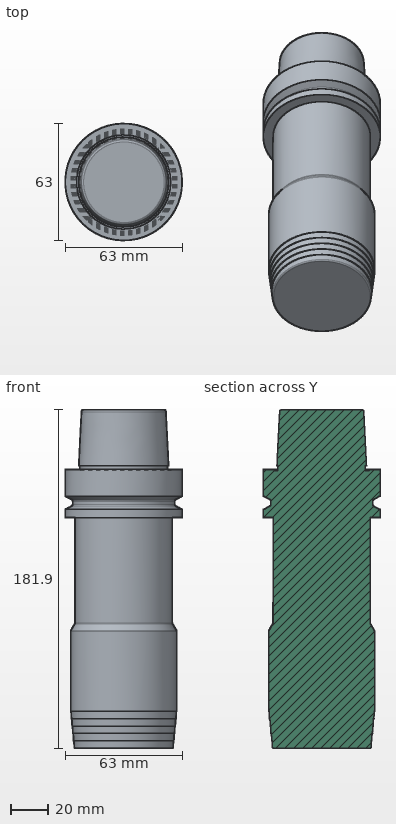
import cadquery as cq
import math

total_height = 181.9

flange_radius = 31.5
flange_top = 149.9
flange_height = 26.0
groove_radius = 27.5
groove_center = flange_top - 18.0
groove_mouth = 7.1
groove_floor = 3.0
groove_fillet = 1.0

taper_base_radius = 24.2
taper_slope = 1 / 20
taper_top_fillet = 1.1
relief_height = 1.8
relief_depth = 0.5
undercut_radius = 25.3
undercut_depth = 0.5

shank_radius = 26.2
body_radius = 28.5
body_top = 63.1
shoulder_height = 4.0
shoulder_fillet = 1.1
nose_height = 20.0
nose_band_count = 5
nose_step = 0.2
nose_band_angle = 3.0
nose_end_fillet = 0.7


def frustum(bottom, top, bottom_radius, top_radius):
    """Solid of revolution with a straight side between two heights."""
    return (
        cq.Workplane("XZ")
        .moveTo(0, bottom)
        .lineTo(bottom_radius, bottom)
        .lineTo(top_radius, top)
        .lineTo(0, top)
        .close()
        .revolve(360, (0, 0, 0), (0, 1, 0))
    )


def nose_outline():
    """Points down the nose: each tapered band starts with a small step inward."""
    band_height = nose_height / nose_band_count
    band_drop = band_height * math.tan(math.radians(nose_band_angle))
    radius = body_radius
    points = [(radius, nose_height)]
    for band in range(nose_band_count):
        band_top = nose_height - band * band_height
        radius -= nose_step
        points.append((radius, band_top))
        radius -= band_drop
        points.append((radius, band_top - band_height))
    return points


def make_lower_body():
    """Shank, sloped shoulder, cylindrical body and stepped nose."""
    shank_top = flange_top - flange_height
    shoulder_top = body_top + shoulder_height
    outline = [
        (0, shank_top),
        (shank_radius, shank_top),
        (shank_radius, shoulder_top),
        (body_radius, body_top),
        *nose_outline(),
        (0, 0),
    ]
    body = cq.Workplane("XZ").polyline(outline).close().revolve(360, (0, 0, 0), (0, 1, 0))
    shoulder_zone = cq.selectors.BoxSelector(
        (-flange_radius, -flange_radius, body_top - shoulder_height / 2),
        (flange_radius, flange_radius, shoulder_top + shoulder_height / 2),
        boundingbox=True,
    )
    body = body.edges(shoulder_zone).edges("%CIRCLE").fillet(shoulder_fillet)
    return body.faces("<Z").edges().fillet(nose_end_fillet)


def make_flange():
    """Disc with a V-sided groove whose floor corners are rounded, undercut around the spigot."""
    mouth_low = groove_center - groove_mouth / 2
    mouth_high = groove_center + groove_mouth / 2
    floor_low = groove_center - groove_floor / 2
    floor_high = groove_center + groove_floor / 2
    flange = (
        cq.Workplane("XZ")
        .moveTo(0, flange_top - flange_height)
        .lineTo(flange_radius, flange_top - flange_height)
        .lineTo(flange_radius, mouth_low)
        .lineTo(groove_radius, floor_low)
        .lineTo(groove_radius, floor_high)
        .lineTo(flange_radius, mouth_high)
        .lineTo(flange_radius, flange_top)
        .lineTo(0, flange_top)
        .close()
        .revolve(360, (0, 0, 0), (0, 1, 0))
    )
    floor_edges = flange.edges("%CIRCLE").edges(cq.selectors.RadiusNthSelector(0))
    undercut = frustum(flange_top - undercut_depth, flange_top, undercut_radius, undercut_radius)
    return floor_edges.fillet(groove_fillet).cut(undercut)


def make_spigot():
    """Tapered spigot with a rounded tip and a relief neck that starts in the undercut."""
    taper_bottom = flange_top + relief_height
    taper_top_radius = taper_base_radius - taper_slope * (total_height - taper_bottom)
    taper = frustum(taper_bottom, total_height, taper_base_radius, taper_top_radius)
    taper = taper.faces(">Z").edges().fillet(taper_top_fillet)
    neck_radius = taper_base_radius - relief_depth
    return taper.union(frustum(flange_top - undercut_depth, taper_bottom, neck_radius, neck_radius))


result = make_lower_body().union(make_flange()).union(make_spigot())